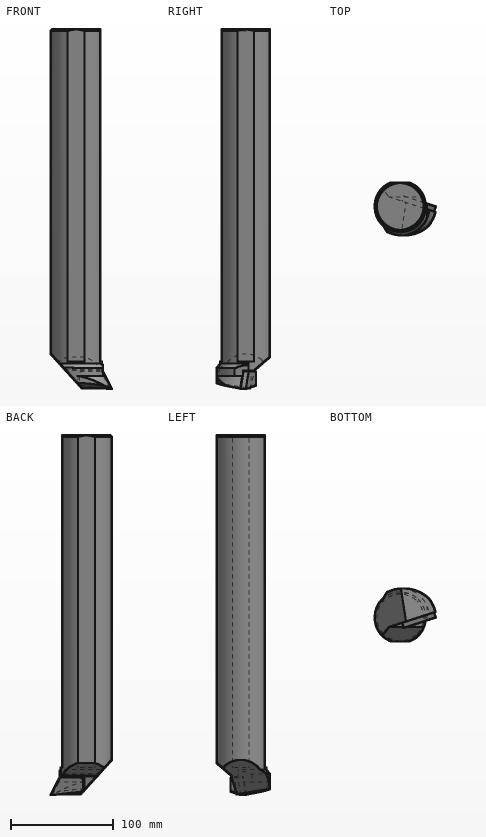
import cadquery as cq
import math

total_height = 351.5
shank_radius = 25.0
flat_distance = 23.5
flat_bottom = 27.0
top_chamfer = 2.0

collar_top = 25.0
collar_bottom = 20.5
collar_radius = 28.5
neck_bottom = 13.0
head_side = 26.5

head_radius = 36.2
head_x = 3.0
head_y = head_radius - collar_radius

tip_x = 34.8
tip_height = 0.0
insert_tilt = 18.0
insert_thickness = 5.3
insert_length = 33.0
insert_height = 17.2
insert_rise = 3.5
insert_side_run = 9.0
corner_radius = 2.65

flank_radius = 35.0
neck_back_y = 2.8
sole_height = 1.8
sole_relief = 0.16
sole_slope = 0.06
back_high_z = 34.5
back_slope = 1.1
gullet_top_z = 31.3
gullet_bottom_y = 9.0
gullet_bottom_z = 19.0
seat_top = 18.3

cut_size = 211.0


def plane_cutter(origin, outward):
    """Block that fills the space beyond a plane, on the side of its outward normal."""
    return cq.Workplane(cq.Plane(origin=origin, normal=outward)).rect(cut_size, cut_size).extrude(cut_size)


def cylinder(radius, bottom, top, x=0.0, y=0.0):
    return cq.Workplane("XY", origin=(x, y, bottom)).circle(radius).extrude(top - bottom)


def rake_plane(depth):
    """Plane parallel to the rake face; local X points to the tip, local Y is Z."""
    tilt = math.radians(insert_tilt)
    inward = (-math.sin(tilt), -math.cos(tilt), 0)
    origin = (tip_x + depth * inward[0], depth * inward[1], tip_height)
    return cq.Plane(origin=origin, xDir=(math.cos(tilt), -math.sin(tilt), 0), normal=inward)


def make_shank():
    shank = cylinder(shank_radius, 0, total_height).faces(">Z").chamfer(top_chamfer)
    flat_height = total_height - flat_bottom
    flat_depth = shank_radius - flat_distance
    flat_center = flat_distance + flat_depth / 2
    for angle in (-90, 0, 90):
        flat = (
            cq.Workplane("XY", origin=(flat_center, 0, flat_bottom))
            .rect(flat_depth, 2 * shank_radius)
            .extrude(flat_height)
            .rotate((0, 0, 0), (0, 0, 1), angle)
        )
        shank = shank.cut(flat)
    return shank


def make_head():
    profile = [
        (0, tip_height),
        (flank_radius, tip_height),
        (collar_radius, neck_bottom),
        (collar_radius, collar_bottom),
        (shank_radius, collar_top),
        (0, collar_top),
    ]
    head = cq.Workplane("XZ").polyline(profile).close().revolve(360, (0, 0), (0, 1))
    head = head.intersect(cylinder(head_radius, tip_height, collar_top, head_x, head_y))

    side = plane_cutter((head_side, 0, 0), (1, 0, 0))
    back = plane_cutter((0, neck_back_y, 0), (0, 1, 0))
    above_flank = cylinder(cut_size, neck_bottom, collar_top)
    return head.cut(side.union(back).intersect(above_flank))


def make_holder():
    holder = make_shank().union(make_head())

    holder = holder.cut(plane_cutter((0, 0, sole_height), (-sole_slope, -sole_relief, -1)))

    holder = holder.cut(plane_cutter((-shank_radius, 0, back_high_z), (-back_slope, 0, -1)))

    seat = cq.Workplane(rake_plane(insert_thickness)).rect(cut_size, 2 * seat_top).extrude(-cut_size)
    holder = holder.cut(seat)
    gullet_run = flat_distance - gullet_bottom_y
    gullet_rise = gullet_top_z - gullet_bottom_z
    gullet = plane_cutter((0, gullet_bottom_y, gullet_bottom_z), (0, gullet_rise, -gullet_run))
    gullet = gullet.cut(plane_cutter((0, gullet_bottom_y, 0), (0, -1, 0)))
    return holder.cut(gullet)


def make_insert():
    outline = [
        (0, 0),
        (-insert_side_run, insert_height),
        (-insert_length, insert_height),
        (-insert_length, insert_rise),
    ]
    rake = rake_plane(0)
    insert = cq.Workplane(rake).polyline(outline).close().extrude(insert_thickness)
    corners = cq.selectors.ParallelDirSelector(rake.zDir)
    return insert.edges(corners).edges("<X").fillet(corner_radius)


holder = make_holder()
insert = make_insert()
result = cq.Compound.makeCompound([holder.val(), insert.val()])